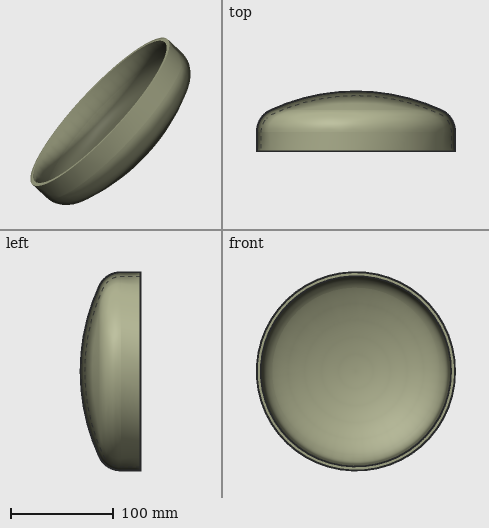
import cadquery as cq
import math

outer_diameter = 193.7
inner_diameter = 185.8
total_depth = 58.7
inner_crown_radius = outer_diameter
inner_knuckle_radius = outer_diameter / 10

wall = (outer_diameter - inner_diameter) / 2
outer_crown_radius = inner_crown_radius + wall
outer_knuckle_radius = inner_knuckle_radius + wall

knuckle_center_radius = inner_diameter / 2 - inner_knuckle_radius
center_distance = inner_crown_radius - inner_knuckle_radius
crown_half_angle = math.asin(knuckle_center_radius / center_distance)
crown_center_drop = center_distance * math.cos(crown_half_angle)

flange_length = total_depth - (outer_crown_radius - crown_center_drop)
crown_center_y = flange_length - crown_center_drop


def crown_point(radius, angle):
    """Point on a crown arc, with the angle measured from the Y axis."""
    return (radius * math.sin(angle), crown_center_y + radius * math.cos(angle))


def knuckle_middle(radius):
    """Point halfway along a knuckle arc, between the crown and the flange."""
    angle = (crown_half_angle + math.pi / 2) / 2
    return (
        knuckle_center_radius + radius * math.sin(angle),
        flange_length + radius * math.cos(angle),
    )


def dome(diameter, crown_radius, knuckle_radius):
    """Solid bounded by the flange, knuckle and crown of one wall surface."""
    profile = (
        cq.Workplane("XY")
        .lineTo(diameter / 2, 0)
        .lineTo(diameter / 2, flange_length)
        .threePointArc(knuckle_middle(knuckle_radius), crown_point(crown_radius, crown_half_angle))
        .threePointArc(crown_point(crown_radius, crown_half_angle / 2), crown_point(crown_radius, 0))
        .close()
    )
    return profile.revolve(360, (0, 0, 0), (0, 1, 0))


outer_dome = dome(outer_diameter, outer_crown_radius, outer_knuckle_radius)
inner_dome = dome(inner_diameter, inner_crown_radius, inner_knuckle_radius)

result = outer_dome.cut(inner_dome)